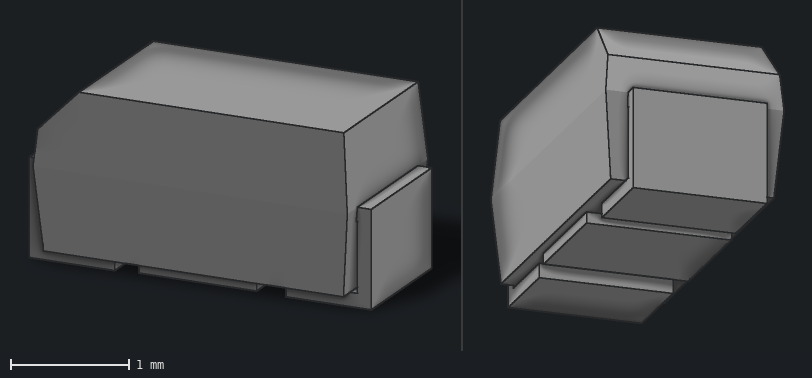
import cadquery as cq
import math

overall_length = 3.2
overall_height = 1.6

body_length = 2.94
body_width = 1.6
parting_height = 0.9
draft_angle = 5.0

bevel_leg = 0.37

terminal_thickness = 0.13
terminal_width = 1.2
foot_length = 0.8

pad_length = 1.1
pad_width = 1.3
pad_bottom = 0.03

body_bottom = terminal_thickness
upper_height = overall_height - parting_height
lower_height = parting_height - body_bottom


def tapered_half(height):
    """Half of the body, narrowing from the parting plane by a signed height."""
    return (
        cq.Workplane("XY", origin=(0, 0, parting_height))
        .rect(body_length, body_width)
        .extrude(height, taper=draft_angle)
    )


def bevel_cutter():
    """Triangular prism that removes the top corner of the -X end."""
    draft_slope = math.tan(math.radians(draft_angle))
    lower_x = -body_length / 2 + (upper_height - bevel_leg) * draft_slope
    upper_x = lower_x + bevel_leg
    return (
        cq.Workplane("XZ")
        .moveTo(lower_x, overall_height - bevel_leg)
        .lineTo(upper_x, overall_height)
        .lineTo(lower_x, overall_height)
        .close()
        .extrude(body_width / 2, both=True)
    )


def make_body():
    upper = tapered_half(upper_height).cut(bevel_cutter())
    return upper.union(tapered_half(-lower_height))


def make_left_terminal():
    """C-shaped strip: tab into the body, outer wall, and foot under the body."""
    outer_x = -overall_length / 2
    inner_x = outer_x + terminal_thickness
    foot_end_x = outer_x + foot_length
    tab_end_x = inner_x + terminal_thickness
    tab_bottom = parting_height - terminal_thickness
    return (
        cq.Workplane("XZ")
        .moveTo(outer_x, 0)
        .lineTo(foot_end_x, 0)
        .lineTo(foot_end_x, terminal_thickness)
        .lineTo(inner_x, terminal_thickness)
        .lineTo(inner_x, tab_bottom)
        .lineTo(tab_end_x, tab_bottom)
        .lineTo(tab_end_x, parting_height)
        .lineTo(outer_x, parting_height)
        .close()
        .extrude(terminal_width / 2, both=True)
    )


def make_pad():
    return (
        cq.Workplane("XY", origin=(0, 0, pad_bottom))
        .rect(pad_length, pad_width)
        .extrude(body_bottom - pad_bottom)
    )


left_terminal = make_left_terminal()
right_terminal = left_terminal.mirror("YZ")

result = make_body().union(make_pad()).union(left_terminal).union(right_terminal)